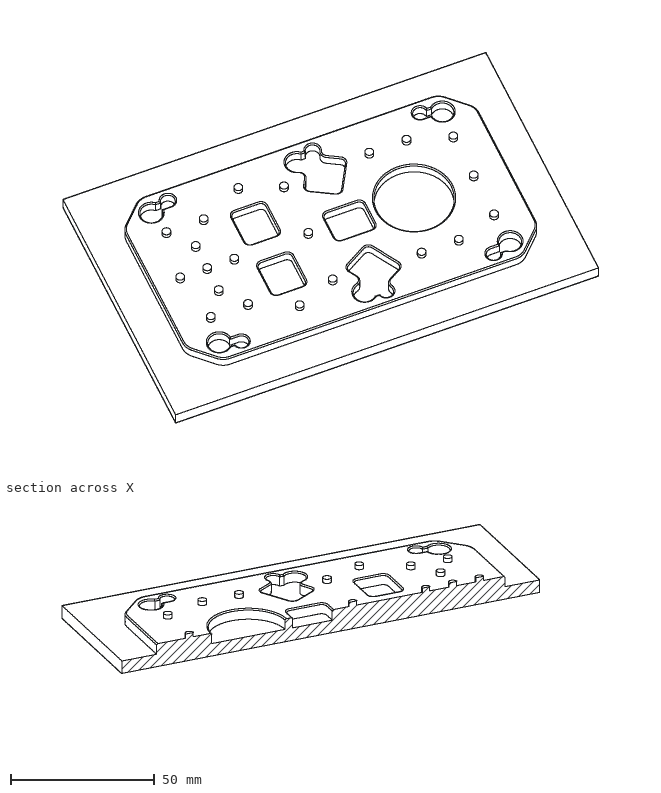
import cadquery as cq
import math

base_width = 100.0
base_length = 160.0
base_thickness = 5.0

panel_width = 75.0
panel_length = 133.5
panel_thickness = 4.0
corner_cut = 10.0
corner_blend_radius = 6.0
edge_chamfer = 0.5
panel_top = base_thickness + panel_thickness

total_height = 10.5
pin_diameter = 3.0
side_pin_positions = [(18.0, 54.0), (23.2, 38.5), (23.2, 24.5), (21.6, -8.5), (27.2, -23.4)]
centre_pin_positions = [(0, 54.0), (0, -8.5)]
cluster_y = -46.7
cluster_cross_reach = 10.2
cluster_corner_x = 19.7
cluster_corner_y = 7.0

window_diameter = 28.0
window_y = 31.5

pocket_long = 15.0
pocket_short = 12.8
pocket_corner_radius = 2.0
upper_pocket_y = 7.0
lower_pocket_x = 11.7
lower_pocket_y = -23.5
tilted_pocket_x = 21.5
tilt_angle = 30
junction_radius = 2.5

key_large_radius = 4.0
key_large_x = 30.0
key_small_radius = 2.5
key_small_x = 32.6
key_end_pitch = 7.4
key_middle_pitch = 7.0
key_neck_width = 2.9
key_end_y = 55.0
key_middle_y = 0

both_sides = (1, -1)


def blank_panel():
    """Rectangle with 45 degree corner cuts blended into the sides."""
    return (
        cq.Workplane("XY", origin=(0, 0, base_thickness))
        .rect(panel_width, panel_length)
        .extrude(panel_thickness)
        .edges("|Z")
        .chamfer(corner_cut)
        .edges("|Z")
        .fillet(corner_blend_radius)
    )


def round_opening(x, y, radius):
    """Cutter for a round hole through the panel."""
    return cq.Workplane("XY", origin=(x, y, base_thickness)).circle(radius).extrude(panel_thickness)


def pocket_opening(x, y, size_x, size_y, angle=0):
    """Cutter for a rounded rectangular pocket through the panel."""
    return (
        cq.Workplane("XY", origin=(x, y, base_thickness))
        .transformed(rotate=(0, 0, angle))
        .rect(size_x, size_y)
        .extrude(panel_thickness)
        .edges("|Z")
        .fillet(pocket_corner_radius)
    )


def keyhole_opening(side, large_y, small_y):
    """Cutter for a large hole, a small hole further outboard, and the neck between them."""
    neck_x = key_small_x - key_small_radius + key_neck_width / 2
    neck = (
        cq.Workplane("XY", origin=(side * neck_x, (large_y + small_y) / 2, base_thickness))
        .rect(key_neck_width, abs(large_y - small_y))
        .extrude(panel_thickness)
    )
    large = round_opening(side * key_large_x, large_y, key_large_radius)
    small = round_opening(side * key_small_x, small_y, key_small_radius)
    return large.union(neck).union(small)


def junction_arc(circle, radius, normal, half_size, direction):
    """Start, middle and end of the arc blending a keyhole circle into one side of the tilted pocket.

    The pocket side lies half_size from the pocket centre along the unit normal. The arc sits outside
    both shapes, on the end of that side given by the sign of direction. It starts on the circle.
    """
    normal_x, normal_y = normal
    offset_x = circle[0] - tilted_pocket_x
    offset_y = circle[1] - upper_pocket_y
    across = offset_x * normal_x + offset_y * normal_y
    along = offset_y * normal_x - offset_x * normal_y

    centre_across = half_size + junction_radius
    reach = math.sqrt((radius + junction_radius) ** 2 - (across - centre_across) ** 2)
    centre_along = along + direction * reach
    centre_x = tilted_pocket_x + centre_across * normal_x - centre_along * normal_y
    centre_y = upper_pocket_y + centre_across * normal_y + centre_along * normal_x

    to_circle = math.atan2(circle[1] - centre_y, circle[0] - centre_x)
    to_pocket = math.atan2(-normal_y, -normal_x)
    sweep = math.remainder(to_pocket - to_circle, 2 * math.pi)
    angles = [to_circle, to_circle + sweep / 2, to_pocket]
    return [
        (centre_x + junction_radius * math.cos(angle), centre_y + junction_radius * math.sin(angle))
        for angle in angles
    ]


def tilted_opening():
    """Cutter on the +X side for the tilted pocket merged with a keyhole through two rounded junctions."""
    large = (key_large_x, key_middle_y)
    small = (key_small_x, key_middle_y + key_middle_pitch)
    cosine = math.cos(math.radians(tilt_angle))
    sine = math.sin(math.radians(tilt_angle))
    lower = junction_arc(large, key_large_radius, (sine, -cosine), pocket_short / 2, -1)
    upper = junction_arc(small, key_small_radius, (cosine, sine), pocket_long / 2, 1)

    web = (
        cq.Workplane("XY", origin=(0, 0, base_thickness))
        .moveTo(*large)
        .lineTo(*lower[0])
        .threePointArc(*lower[1:])
        .lineTo(tilted_pocket_x, upper_pocket_y)
        .lineTo(*upper[2])
        .threePointArc(upper[1], upper[0])
        .lineTo(*small)
        .close()
        .extrude(panel_thickness)
    )
    pocket = pocket_opening(tilted_pocket_x, upper_pocket_y, pocket_long, pocket_short, tilt_angle)
    return keyhole_opening(1, large[1], small[1]).union(pocket).union(web).clean()


def pin_positions():
    """Pins mirrored about X = 0, the two on the centreline, and the lower cluster."""
    points = list(centre_pin_positions)
    for side in both_sides:
        points += [(side * x, y) for x, y in side_pin_positions]
        points.append((side * cluster_cross_reach, cluster_y))
        points.append((0, cluster_y + side * cluster_cross_reach))
        for end in both_sides:
            points.append((side * cluster_corner_x, cluster_y + end * cluster_corner_y))
    points.append((0, cluster_y))
    return points


openings = [
    round_opening(0, window_y, window_diameter / 2),
    pocket_opening(0, upper_pocket_y, pocket_short, pocket_long),
]
for side in both_sides:
    openings.append(pocket_opening(side * lower_pocket_x, lower_pocket_y, pocket_long, pocket_short))
    for end in both_sides:
        openings.append(keyhole_opening(side, end * key_end_y, end * (key_end_y - key_end_pitch)))

right_tilted_opening = tilted_opening()
openings += [right_tilted_opening, right_tilted_opening.mirror("YZ")]

panel = blank_panel()
for opening in openings:
    panel = panel.cut(opening)
panel = panel.faces(">Z").chamfer(edge_chamfer)

pins = (
    cq.Workplane("XY", origin=(0, 0, panel_top))
    .pushPoints(pin_positions())
    .circle(pin_diameter / 2)
    .extrude(total_height - panel_top)
)

base = cq.Workplane("XY").box(base_width, base_length, base_thickness, centered=(True, True, False))

result = base.union(panel).union(pins)